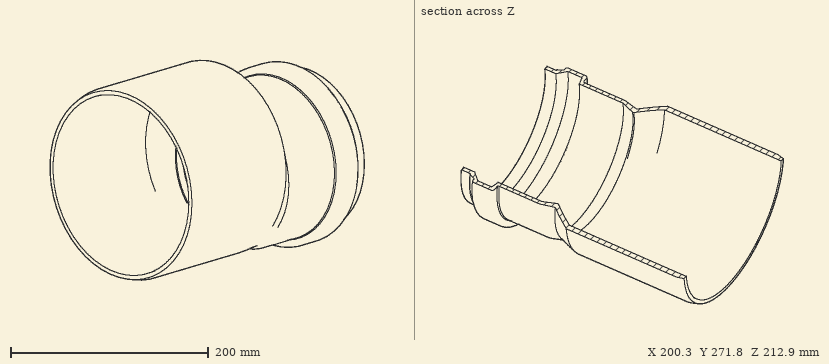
import cadquery as cq
import math

length = 271.8
spigot_radius = 200.3 / 2
spigot_wall = 6.5
mouth_chamfer_length = 8.0
mouth_chamfer_depth = 2.2

socket_drop = 18.5
neck_radius = 81.5
neck_bore_radius = neck_radius - spigot_wall
socket_radius = 170.7 / 2
socket_wall = 9.5 / 2
socket_bore_radius = socket_radius - socket_wall
collar_radius = 188.4 / 2
collar_bore_radius = collar_radius - socket_wall
collar_rounding = 2.7
collar_root_radius = 86.2
cone_base_radius = 89.5
cone_tip_radius = 86.5

shoulder_low = 135.5
shoulder_high = 141.3
neck_start = 162.8
neck_end = 164.5
socket_start = 179.0
collar_root = 227.0
collar_start = 228.5
collar_end = 254.5
cone_tip = 261.0


def revolve_profile(points, axis_z):
    """Revolve (radius, y) points, closed along the axis, about a line parallel to Y."""
    closed = [(0, points[0][1])] + points + [(0, points[-1][1])]
    body = cq.Workplane("XY").polyline(closed).close().revolve(360, (0, 0, 0), (0, 1, 0))
    return body.translate((0, 0, axis_z))


def shoulder(wide_radius, narrow_radius):
    """Solid from the slanted end of a cylinder to the round neck on the lower axis."""
    slope = (shoulder_high - shoulder_low) / (2 * spigot_radius)
    slant_center = cq.Vector(0, (shoulder_low + shoulder_high) / 2, 0)
    slant_normal = cq.Vector(0, 1, -slope)
    slant_edge = cq.Wire.makeEllipse(
        wide_radius * math.hypot(1, slope), wide_radius, slant_center,
        slant_normal, cq.Vector(0, slope, 1), rotation_angle=0,
    )
    neck_plane = cq.Plane((0, neck_start, -socket_drop), xDir=(0, 0, 1), normal=(0, 1, 0))
    neck_edge = cq.Workplane(neck_plane).circle(narrow_radius).wires().val()
    cone = cq.Workplane(cq.Solid.makeLoft([slant_edge, neck_edge], True))

    cylinder = revolve_profile([(wide_radius, 0), (wide_radius, neck_start)], 0)
    slant_plane = cq.Plane(slant_center.toTuple(), xDir=(1, 0, 0), normal=slant_normal.toTuple())
    beyond = cq.Workplane(slant_plane).circle(2 * spigot_radius).extrude(length)
    return cylinder.cut(beyond).union(cone)


def outside():
    mouth = revolve_profile([
        (spigot_radius - mouth_chamfer_depth, 0),
        (spigot_radius, mouth_chamfer_length),
        (spigot_radius, length),
    ], 0)
    spigot = shoulder(spigot_radius, neck_radius).intersect(mouth)
    socket = revolve_profile([
        (neck_radius, neck_start),
        (neck_radius, neck_end),
        (socket_radius, socket_start),
        (socket_radius, collar_root),
        (collar_root_radius, collar_start),
        (cone_base_radius, collar_start),
        (cone_base_radius, collar_end),
        (cone_tip_radius, cone_tip),
        (socket_radius, cone_tip),
        (socket_radius, length),
    ], -socket_drop)
    collar = revolve_profile([(collar_radius, collar_start), (collar_radius, collar_end)], -socket_drop)
    collar = collar.edges("%CIRCLE").fillet(collar_rounding)
    return spigot.union(socket).union(collar)


def bore():
    spigot = shoulder(spigot_radius - spigot_wall, neck_bore_radius)
    socket = revolve_profile([
        (neck_bore_radius, neck_start),
        (neck_bore_radius, neck_end),
        (socket_bore_radius, socket_start),
        (socket_bore_radius, collar_start + socket_wall / 2),
        (collar_bore_radius, collar_start + socket_wall),
        (collar_bore_radius, collar_end - socket_wall),
        (socket_bore_radius, cone_tip - socket_wall / 2),
        (socket_bore_radius, length),
    ], -socket_drop)
    return spigot.union(socket)


result = outside().cut(bore())